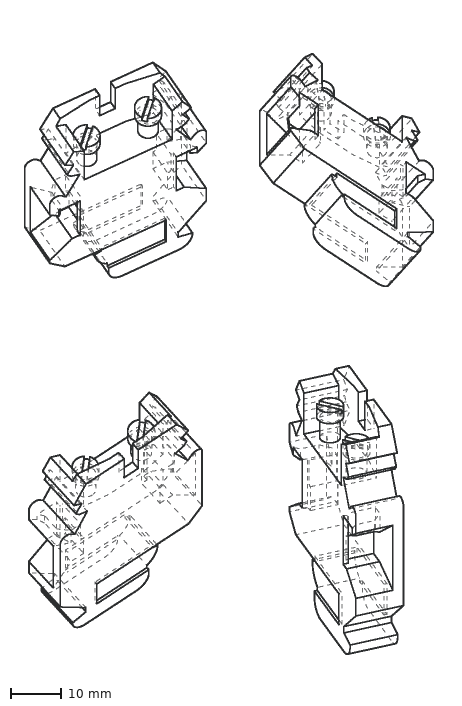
import cadquery as cq
import math

thickness = 10.2
height = 51.6
half_length = 17.85

top_half_width = 11.4
barb_half_width = 14.4
barb_z = 46.55
groove_half_width = 12.5
groove_z = 45.35
rib_half_width = 13.95
rib_z = 43.05
rib_bevel_half_width = 13.15
rib_bevel_z = 42.0
neck_half_width = 11.1
neck_z = 41.25
notch_half_width = 14.25
shoulder_z = 35.7
lobe_radius = 1.55
lobe_angle = math.radians(40)
base_z = 12.15
front_corner = 3.4
heel_y = 11.4
heel_z = 6.0

foot_radius = 3.2
foot_front_y = -4.45
foot_top_z = 4.8
hook_y = 14.7
hook_root_z = 4.5
hook_tip_z = 3.6
web_y = 8.65
latch_inset = 0.6
latch_tip_y = -7.1
latch_tip_z = 10.5
latch_neck_y = -5.85
latch_neck_z = 10.85
latch_foot_z = 5.55
latch_belly = (-6.5, 7.75)

slot_width = 3.5
slot_floor_z = 44.75
opening_wall = 1.85
opening_flat_half = 4.15
opening_rim_wall = 3.1
opening_rim_y = 12.5
opening_rim_z = 49.9
opening_half_length = 10.0
opening_lip_z = 48.4
opening_floor_z = 38.7
screw_x = 5.85
screw_y = 7.0
screw_head_radius = 2.7
screw_shank_radius = 2.05
screw_top_z = 46.3
screw_head_height = 2.65
driver_slot_width = 1.15
driver_slot_depth = 1.05

entry_wall = 2.3
entry_bottom_z = 16.6
entry_top_z = 32.05
throat_wall = 3.15
throat_depth = 5.05
throat_bottom_z = 20.55
throat_top_z = 27.55
chamber_end_depth = 6.85
clamp_side_x = 9.1
clamp_depth = 7.5
clamp_bottom_z = 26.2
clamp_edge_radius = 0.75
relief_corner_x = 5.1
relief_depth = 3.05
relief_mouth_depth = 2.05

overshoot = 2.6

QUARTER_ARC_SETBACK = 1 - math.sqrt(0.5)


def mirrored(points):
    """The same points on the other side of Y = 0, in reverse order."""
    return [(-y, z) for y, z in reversed(points)]


def side_plate(start_x, end_x):
    """Sketch plane at start_x facing +X, with the distance to extrude to end_x."""
    return cq.Workplane("YZ", origin=(start_x, 0, 0)), end_x - start_x


def box(x_range, y_range, z_range):
    spans = [high - low for low, high in (x_range, y_range, z_range)]
    return cq.Workplane("XY").box(*spans, centered=False).translate((x_range[0], y_range[0], z_range[0]))


def make_housing():
    lobe_y = half_length - lobe_radius
    lobe_top = shoulder_z + lobe_radius
    flat_y = lobe_y - lobe_radius * math.cos(lobe_angle)
    flat_z = shoulder_z + lobe_radius * math.sin(lobe_angle)
    arc_mid = foot_radius * QUARTER_ARC_SETBACK

    shoulder = [
        (top_half_width, height),
        (barb_half_width, barb_z),
        (groove_half_width, groove_z),
        (rib_half_width, rib_z),
        (rib_bevel_half_width, rib_bevel_z),
        (neck_half_width, neck_z),
        (notch_half_width, shoulder_z),
    ]
    plane, depth = side_plate(0, thickness)
    return (
        plane.polyline(shoulder)
        .lineTo(flat_y, flat_z)
        .threePointArc((lobe_y, lobe_top), (half_length, shoulder_z))
        .lineTo(half_length, heel_z + half_length - heel_y)
        .lineTo(heel_y, heel_z)
        .lineTo(heel_y, hook_root_z)
        .lineTo(hook_y, hook_tip_z)
        .lineTo(hook_y, foot_radius)
        .threePointArc((hook_y - arc_mid, arc_mid), (hook_y - foot_radius, 0))
        .lineTo(foot_front_y + foot_radius, 0)
        .threePointArc((foot_front_y + arc_mid, arc_mid), (foot_front_y, foot_radius))
        .lineTo(foot_front_y, foot_top_z)
        .lineTo(web_y, foot_top_z)
        .lineTo(web_y, base_z)
        .lineTo(front_corner - half_length, base_z)
        .lineTo(-half_length, base_z + front_corner)
        .lineTo(-half_length, shoulder_z)
        .threePointArc((-lobe_y, lobe_top), (-flat_y, flat_z))
        .lineTo(-notch_half_width, shoulder_z)
        .polyline(mirrored(shoulder)[1:], includeCurrent=True)
        .close()
        .extrude(depth)
    )


def make_latch():
    """Latch between foot and housing, set in from both side faces."""
    plane, depth = side_plate(latch_inset, thickness - latch_inset)
    return (
        plane.moveTo(web_y, foot_top_z)
        .lineTo(foot_front_y, foot_top_z)
        .lineTo(foot_front_y, latch_foot_z)
        .threePointArc(latch_belly, (latch_tip_y, latch_tip_z))
        .lineTo(latch_neck_y, latch_neck_z)
        .lineTo(latch_neck_y, base_z)
        .lineTo(web_y, base_z)
        .close()
        .extrude(depth)
    )


def make_opening():
    """Screw opening, with sloping end lips and a wall that thins towards the middle."""
    reach = opening_rim_y + overshoot
    wall_slope = (opening_rim_wall - opening_wall) / (opening_rim_y - opening_flat_half)
    lip_slope = (opening_rim_z - opening_lip_z) / (opening_rim_y - opening_half_length)
    reach_wall = opening_rim_wall + wall_slope * overshoot
    reach_z = opening_rim_z + lip_slope * overshoot
    ceiling = height + overshoot
    outer_x = thickness + overshoot

    plan = [
        (outer_x, -reach),
        (reach_wall, -reach),
        (opening_wall, -opening_flat_half),
        (opening_wall, opening_flat_half),
        (reach_wall, reach),
        (outer_x, reach),
    ]
    half_profile = [
        (opening_half_length, opening_floor_z),
        (opening_half_length, opening_lip_z),
        (reach, reach_z),
        (reach, ceiling),
    ]
    plan_prism = cq.Workplane("XY").polyline(plan).close().extrude(ceiling)
    plane, depth = side_plate(0, outer_x)
    profile_prism = plane.polyline(half_profile + mirrored(half_profile)).close().extrude(depth)
    return plan_prism.intersect(profile_prism)


def make_screw(y):
    shank_height = screw_top_z - opening_floor_z
    shank = cq.Workplane("XY").circle(screw_shank_radius).extrude(shank_height)
    head = (
        cq.Workplane("XY", origin=(0, 0, shank_height - screw_head_height))
        .circle(screw_head_radius)
        .extrude(screw_head_height)
    )
    driver_slot = (
        cq.Workplane("XY", origin=(0, 0, shank_height - driver_slot_depth))
        .rect(3 * screw_head_radius, driver_slot_width)
        .extrude(driver_slot_depth)
        .rotate((0, 0, 0), (0, 0, 1), -45)
    )
    return shank.union(head).cut(driver_slot).translate((screw_x, y, opening_floor_z))


def make_wire_entry():
    """Tapered funnel in the -Y end, open towards +X, leading to the clamp chamber."""
    end_y = -half_length
    throat_y = end_y + throat_depth
    wall_y = end_y + chamber_end_depth
    clamp_y = end_y + clamp_depth
    clamp_back_y = clamp_y + clamp_edge_radius
    full_height = (throat_bottom_z, entry_top_z)

    funnel = (
        cq.Workplane("XZ", origin=(0, end_y, 0))
        .moveTo(entry_wall, entry_bottom_z)
        .lineTo(thickness, entry_bottom_z)
        .lineTo(thickness, entry_top_z)
        .lineTo(entry_wall, entry_top_z)
        .close()
        .workplane(offset=-throat_depth)
        .moveTo(throat_wall, throat_bottom_z)
        .lineTo(thickness, throat_bottom_z)
        .lineTo(thickness, throat_top_z)
        .lineTo(throat_wall, throat_top_z)
        .close()
        .loft(ruled=True)
    )

    relief_plan = [
        (throat_wall, wall_y),
        (throat_wall, throat_y),
        (relief_corner_x, end_y + relief_depth),
        (clamp_side_x, end_y + relief_depth),
        (thickness, end_y + relief_mouth_depth),
        (thickness, wall_y),
    ]
    relief = (
        cq.Workplane("XY", origin=(0, 0, throat_top_z))
        .polyline(relief_plan)
        .close()
        .extrude(entry_top_z - throat_top_z)
    )

    chamber = box((throat_wall, thickness), (throat_y, wall_y), full_height)
    clamp_pocket = box((throat_wall, clamp_side_x), (wall_y, clamp_back_y), full_height)
    plane, depth = side_plate(throat_wall, clamp_side_x)
    arc_mid = clamp_edge_radius * QUARTER_ARC_SETBACK
    clamp = (
        plane.moveTo(clamp_back_y, clamp_bottom_z)
        .threePointArc(
            (clamp_y + arc_mid, clamp_bottom_z + arc_mid),
            (clamp_y, clamp_bottom_z + clamp_edge_radius),
        )
        .lineTo(clamp_y, entry_top_z)
        .lineTo(clamp_back_y, entry_top_z)
        .close()
        .extrude(depth)
    )
    return funnel.union(relief).union(chamber).union(clamp_pocket.cut(clamp))


marking_slot = box(
    (-overshoot, thickness + overshoot),
    (-slot_width / 2, slot_width / 2),
    (slot_floor_z, height + overshoot),
)
wire_entry = make_wire_entry()

result = make_housing().union(make_latch()).cut(marking_slot).cut(make_opening())
result = result.cut(wire_entry).cut(wire_entry.mirror("XZ"))
for y in (-screw_y, screw_y):
    result = result.union(make_screw(y))